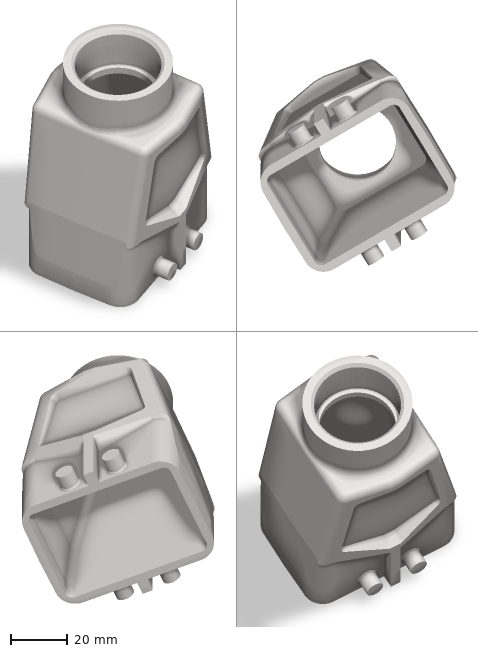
import cadquery as cq
import math

TOTAL_HEIGHT = 88.0
SHOULDER_Z = 72.25
WALL = 3.2

FOOT_HALF_LENGTH = 61.0 / 2
FOOT_HALF_WIDTH = 22.1
FOOT_CORNER_RADIUS = 7.5

FOOT_Z = 8.9
WAIST_Z = 32.1
WAIST_HALF_LENGTH = 28.6
SHOULDER_HALF_LENGTH = 20.9
END_CROWN_ANGLE = 1.0
UPPER_END_SLOPE = (WAIST_HALF_LENGTH - SHOULDER_HALF_LENGTH) / (SHOULDER_Z - WAIST_Z)

HOOD_HALF_WIDTH = 54.1 / 2
SIDE_FLAT_HALF = 1.9
SIDE_ANGLE = 10.0
HOOD_FILLET = 3.1
CORNER_ZONE = 19.4

DRAFT = 30.0
SKIRT_MIDDLE_Z = 20.4
SKIRT_CORNER_Y = 22.7
SKIRT_CORNER_Z = 28.9
CORNER_ROOF_HEIGHT = 2.6

PANEL_FLOOR_X = 22.35
PANEL_BOTTOM_HALF = 2.1
PANEL_BOTTOM_Z = 29.9
PANEL_SIDE_Y = 19.9
PANEL_SIDE_Z = 36.3
PANEL_TOP_HALF = 14.3
PANEL_TOP_Z = 64.4
PANEL_CORNER_RADIUS = 1.4

PIN_TIP_X = 28.0
PIN_RADIUS = 3.3
PIN_FLARE = 0.6
PIN_ROOT = 0.9
PIN_Y = 9.0
PIN_Z = 5.5

NECK_RADIUS = 19.6
NECK_FILLET = 2.4
BORE_RADIUS = 15.5
BORE_CHAMFER = 1.1
BORE_CHAMFER_ANGLE = 45.0
BORE_FLOOR_Z = 72.0
ENTRY_RADIUS = 13.7
CAVITY_CORNER_RADIUS = 2.6

REACH = 44.0
SIDE_CUT_DEPTH = 10.6


def end_prism(half_profile):
    """Bar along X whose Y-Z outline is the half profile mirrored to both ends."""
    other_half = [(-y, z) for y, z in reversed(half_profile)]
    return cq.Workplane("YZ").polyline(half_profile + other_half).close().extrude(REACH, both=True)


def end_profile(inset, top_z):
    """Half profile of the ends, moved inwards by the inset and cut off at top_z."""
    top_half_length = WAIST_HALF_LENGTH - UPPER_END_SLOPE * (top_z - WAIST_Z)
    return [
        (FOOT_HALF_LENGTH - inset, 0),
        (FOOT_HALF_LENGTH - inset, FOOT_Z),
        (WAIST_HALF_LENGTH - inset, WAIST_Z),
        (top_half_length - inset, top_z),
    ]


def crown_ends(body, half_profile):
    """Trim each end to two faces that meet in a faint ridge at the middle plane."""
    prism = end_prism(half_profile)
    for angle in (END_CROWN_ANGLE, -END_CROWN_ANGLE):
        body = body.intersect(prism.rotate((0, 0, 0), (0, 0, 1), angle))
    return body


def make_hood():
    """Six-sided hood with tapered ends and rounded top and corner edges."""
    end_half_width = HOOD_HALF_WIDTH - (REACH - SIDE_FLAT_HALF) * math.tan(math.radians(SIDE_ANGLE))
    far_side = [(HOOD_HALF_WIDTH, SIDE_FLAT_HALF), (end_half_width, REACH)]
    far_side += [(-x, y) for x, y in reversed(far_side)]
    near_side = [(-x, -y) for x, y in far_side]
    block = cq.Workplane("XY").polyline(far_side + near_side).close().extrude(SHOULDER_Z)
    straight_ends = [
        (WAIST_HALF_LENGTH + UPPER_END_SLOPE * WAIST_Z, 0),
        (SHOULDER_HALF_LENGTH, SHOULDER_Z),
    ]
    hood = crown_ends(block, straight_ends)

    rounded = cq.StringSyntaxSelector(">Z")
    for x in (-1, 1):
        for y in (-1, 1):
            inner = (x * CORNER_ZONE, y * CORNER_ZONE, 0)
            outer = (x * REACH, y * REACH, SHOULDER_Z)
            rounded = rounded + cq.selectors.BoxSelector(inner, outer)
    hood = hood.edges(rounded).fillet(HOOD_FILLET)
    return crown_ends(hood, end_profile(0, SHOULDER_Z))


def foot_outline():
    """Plan of the foot: rounded corners, and ends that rise to a faint ridge at X = 0."""
    side_half_length = FOOT_HALF_LENGTH - FOOT_HALF_WIDTH * math.tan(math.radians(END_CROWN_ANGLE))
    half = [
        (FOOT_HALF_WIDTH, -side_half_length),
        (FOOT_HALF_WIDTH, side_half_length),
        (0, FOOT_HALF_LENGTH),
    ]
    outline = half + [(-x, -y) for x, y in half]
    return cq.Sketch().polygon(outline + outline[:1]).vertices("<X or >X").fillet(FOOT_CORNER_RADIUS)


def make_foot_core():
    """Upright foot, up to the height where the corner roofs begin."""
    return cq.Workplane("XY").placeSketch(foot_outline()).extrude(SKIRT_CORNER_Z)


def corner_cut():
    """Space below the hood at both ends, its roof rising outwards from the rounded foot corners."""
    space = cq.Workplane("XY").rect(2 * REACH, 2 * REACH).extrude(SKIRT_CORNER_Z + CORNER_ROOF_HEIGHT)
    roof_start = cq.Workplane("XY", origin=(0, 0, SKIRT_CORNER_Z)).placeSketch(foot_outline())
    above_roof = roof_start.extrude(CORNER_ROOF_HEIGHT, taper=DRAFT - 90)
    middle = cq.Workplane("XY").rect(2 * REACH, 2 * SKIRT_CORNER_Y).extrude(TOTAL_HEIGHT)
    return space.cut(above_roof).cut(make_foot_core()).cut(middle)


def side_cut(outline, start_x, side):
    """Solid that starts at start_x and widens outwards by the draft angle, on the given side."""
    start = cq.Workplane("YZ", origin=(start_x, 0, 0)).placeSketch(outline)
    cut = start.extrude(SIDE_CUT_DEPTH, taper=-DRAFT)
    return cut if side > 0 else cut.mirror("YZ")


def skirt_cut(side):
    """Space below the hood on one side, its roof rising outwards from the foot wall."""
    outline = [
        (-REACH, -REACH),
        (REACH, -REACH),
        (REACH, SKIRT_CORNER_Z),
        (SKIRT_CORNER_Y, SKIRT_CORNER_Z),
        (0, SKIRT_MIDDLE_Z),
        (-SKIRT_CORNER_Y, SKIRT_CORNER_Z),
        (-REACH, SKIRT_CORNER_Z),
    ]
    return side_cut(cq.Sketch().polygon(outline + outline[:1]), FOOT_HALF_WIDTH, side)


def panel_cut(side):
    """Sunken side panel with a pointed lower end and sloping walls."""
    half = [
        (PANEL_BOTTOM_HALF, PANEL_BOTTOM_Z),
        (PANEL_SIDE_Y, PANEL_SIDE_Z),
        (PANEL_TOP_HALF, PANEL_TOP_Z),
    ]
    outline = half + [(-y, z) for y, z in reversed(half)]
    floor = cq.Sketch().polygon(outline + outline[:1])
    rounded_floor = floor.vertices("<X or >X or >Y").fillet(PANEL_CORNER_RADIUS)
    return side_cut(rounded_floor, PANEL_FLOOR_X, side)


def make_rib():
    """Upright bar that carries the flats of both hood sides down to the bottom."""
    return cq.Workplane("XY").rect(2 * HOOD_HALF_WIDTH, 2 * SIDE_FLAT_HALF).extrude(SKIRT_CORNER_Z)


def make_pin(side, y):
    """Locking pin that flares where it meets the foot wall."""
    half_section = [
        (FOOT_HALF_WIDTH - PIN_ROOT, 0),
        (FOOT_HALF_WIDTH - PIN_ROOT, PIN_RADIUS + PIN_FLARE),
        (FOOT_HALF_WIDTH, PIN_RADIUS + PIN_FLARE),
        (FOOT_HALF_WIDTH + PIN_FLARE, PIN_RADIUS),
        (PIN_TIP_X, PIN_RADIUS),
        (PIN_TIP_X, 0),
    ]
    pin = cq.Workplane("XY").polyline(half_section).close().revolve(360, (0, 0, 0), (1, 0, 0))
    pin = pin.translate((0, y, PIN_Z))
    return pin if side > 0 else pin.mirror("YZ")


def add_neck(body):
    """Round neck on top of the hood, with a fillet around its base."""
    neck_start_z = SHOULDER_Z - WALL
    neck = (
        cq.Workplane("XY", origin=(0, 0, neck_start_z))
        .circle(NECK_RADIUS)
        .extrude(TOTAL_HEIGHT - neck_start_z)
    )
    around_base = cq.selectors.BoxSelector(
        (-NECK_RADIUS, -NECK_RADIUS, neck_start_z),
        (NECK_RADIUS, NECK_RADIUS, SHOULDER_Z + NECK_FILLET),
    )
    base_edges = around_base - cq.selectors.ParallelDirSelector(cq.Vector(1, 0, 0))
    return body.union(neck).edges(base_edges).fillet(NECK_FILLET)


def make_cavity():
    """Inner space, open at the bottom, that keeps the wall behind the sides, ends and top."""
    top_z = SHOULDER_Z - WALL
    block = cq.Workplane("XY").rect(2 * (FOOT_HALF_WIDTH - WALL), 2 * REACH).extrude(top_z)
    cavity = block.intersect(end_prism(end_profile(WALL, top_z)))
    return cavity.edges("not (|X or |Y)").fillet(CAVITY_CORNER_RADIUS)


def make_bore():
    """Stepped hole through the neck, with a chamfered mouth."""
    bore = (
        cq.Workplane("XY", origin=(0, 0, BORE_FLOOR_Z))
        .circle(BORE_RADIUS)
        .extrude(TOTAL_HEIGHT - BORE_FLOOR_Z)
    )
    mouth = (
        cq.Workplane("XY", origin=(0, 0, TOTAL_HEIGHT))
        .circle(BORE_RADIUS + BORE_CHAMFER)
        .extrude(-BORE_CHAMFER, taper=BORE_CHAMFER_ANGLE)
    )
    entry = cq.Workplane("XY").circle(ENTRY_RADIUS).extrude(TOTAL_HEIGHT)
    return bore.union(mouth).union(entry)


hood = make_hood().cut(corner_cut())
for side in (-1, 1):
    hood = hood.cut(skirt_cut(side))

foot = crown_ends(make_foot_core(), end_profile(0, SHOULDER_Z))
body = hood.union(foot).union(make_rib())
for side in (-1, 1):
    body = body.cut(panel_cut(side))
    for pin_y in (-PIN_Y, PIN_Y):
        body = body.union(make_pin(side, pin_y))

result = add_neck(body).cut(make_cavity()).cut(make_bore())